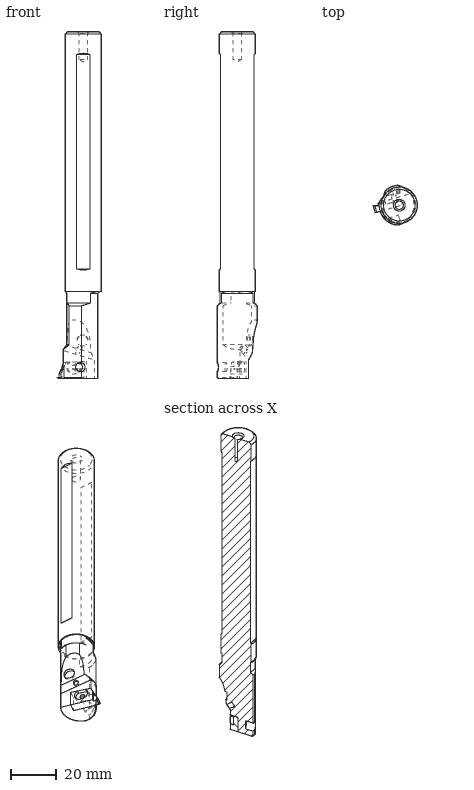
import cadquery as cq
import math

total_length = 152.5
shank_start = 38.3
neck_start = 33.2

shank_diameter = 16.0
shank_radius = shank_diameter / 2
neck_radius = 7.6
head_radius = 8.8
shoulder_height = head_radius - neck_radius
top_chamfer = 1.0
tip_chamfer = 0.5

flat_offset = 7.5
flat_bottom = 47.7
flat_top = 143.0
flat_depth = shank_radius - flat_offset

centre_hole_radius = 1.8
centre_hole_depth = 12.2
countersink_radius = 2.6
drill_point_angle = 118.0

back_relief_radius = 9.0
back_relief_axis = -2.6
front_relief_radius = 18.3
front_relief_axis = 11.0
front_relief_bottom = 15.0
front_relief_runout_rise = 1.4
relief_top = 37.5
relief_reach = 12.2

seat_turn = 16.0
pocket_tilt = 16.0
pocket_floor = 3.5
step_start = 9.6
step_top = 5.5
step_end = 12.4
wall_top = 6.0
wall_end = 16.8
runout_middle = (6.9, 21.0)
runout_end = (8.7, 24.4)
pocket_outside_height = 36.6
pocket_half_length = 30.5
pocket_outside = 18.3

insert_thickness = 3.8
insert_inner_end = 1.4
insert_height = 7.6
insert_shoulder_end = -8.0
insert_shoulder_height = 7.2
insert_flank_end = -10.4
insert_flank_height = 2.1
insert_tip_end = -11.1
insert_tip_height = 0.5
rake_level = -0.2
rake_wall = -9.3

screw_along = -3.5
screw_height = 5.0
screw_radius = 1.0
screw_head_radius = 3.0
screw_head_depth = 1.5
back_bore_radius = 2.0
back_bore_floor = -4.1

outlet_radius = 1.0
outlet_depth = 3.0
outlet_along = -4.5

recess_radius = 2.5
recess_along = 1.2
recess_height = 16.8
recess_floor = 5.0

margin = 15.3


def turned(shape):
    """Turn a shape from the plain frame into the insert frame."""
    return shape.rotate((0, 0, 0), (0, 0, 1), seat_turn)


def tilted(shape):
    """Tilt a shape down across the head, then turn it into the insert frame."""
    return turned(shape.rotate((0, 0, 0), (0, 1, 0), pocket_tilt))


def lathe_body():
    """Head, neck and shank as one turning about Z."""
    outline = [
        (0, 0),
        (-(head_radius - tip_chamfer), 0),
        (-head_radius, tip_chamfer),
        (-head_radius, neck_start - shoulder_height),
        (-neck_radius, neck_start),
        (-neck_radius, shank_start),
        (-shank_radius, shank_start),
        (-shank_radius, total_length - top_chamfer),
        (-(shank_radius - top_chamfer), total_length),
        (0, total_length),
    ]
    return cq.Workplane("XZ").polyline(outline).close().revolve(360, (0, 0), (0, 1))


def clamping_flat(side):
    """Cutter for one shank flat with 45 degree ends; side is +1 or -1 along Y."""
    outline = [
        (side * flat_offset, flat_bottom + flat_depth),
        (side * flat_offset, flat_top - flat_depth),
        (side * shank_radius, flat_top),
        (side * shank_radius, flat_bottom),
    ]
    return cq.Workplane("YZ").polyline(outline).close().extrude(shank_radius, both=True)


def centre_hole():
    """Countersunk drilled hole in the top end."""
    point_height = centre_hole_radius / math.tan(math.radians(drill_point_angle / 2))
    floor = total_length - centre_hole_depth
    outline = [
        (0, total_length),
        (countersink_radius, total_length),
        (centre_hole_radius, total_length - (countersink_radius - centre_hole_radius)),
        (centre_hole_radius, floor),
        (0, floor - point_height),
    ]
    return cq.Workplane("XZ").polyline(outline).close().revolve(360, (0, 0), (0, 1))


def relief_ring(axis, radius, bottom, runout_rise):
    """Ring cutter about a shifted axis; its lower runout rises runout_rise per unit of depth."""
    flare = shank_start - relief_top
    outline = [
        (axis + radius, bottom),
        (axis + radius, relief_top),
        (axis + radius + flare, shank_start),
        (axis + radius + relief_reach, shank_start),
        (axis + radius + relief_reach, bottom - relief_reach * runout_rise),
    ]
    return cq.Workplane("XZ").polyline(outline).close().revolve(360, (axis, 0), (axis, 1))


def chip_pocket():
    """Stepped prism that opens the head above the insert, ending in a round runout."""
    prism = (
        cq.Workplane("YZ")
        .moveTo(pocket_floor, -margin)
        .lineTo(pocket_floor, step_start)
        .lineTo(step_top, step_end)
        .lineTo(wall_top, wall_end)
        .threePointArc(runout_middle, runout_end)
        .lineTo(pocket_outside, pocket_outside_height)
        .lineTo(pocket_outside, -margin)
        .close()
        .extrude(pocket_half_length, both=True)
    )
    return tilted(prism)


def screw_cylinder(radius, start, end):
    """Cylinder on the screw axis between two levels of the turned frame."""
    plane = cq.Plane(origin=(screw_along, start, screw_height), xDir=(1, 0, 0), normal=(0, 1, 0))
    return turned(cq.Workplane(plane).circle(radius).extrude(end - start))


def coolant_outlet():
    """Blind hole square to the middle of the sloping step in the tilted pocket."""
    middle = (outlet_along, (pocket_floor + step_top) / 2, (step_start + step_end) / 2)
    inward = (0, step_start - step_end, step_top - pocket_floor)
    plane = cq.Plane(origin=middle, xDir=(1, 0, 0), normal=inward)
    return tilted(cq.Workplane(plane).circle(outlet_radius).extrude(outlet_depth, both=True))


def wall_recess():
    """Round cutter square to the turned frame, for the recess in the pocket wall."""
    plane = cq.Plane(origin=(recess_along, recess_floor, recess_height), xDir=(1, 0, 0), normal=(0, 1, 0))
    return turned(cq.Workplane(plane).circle(recess_radius).extrude(margin))


def insert_blank():
    """Insert plate with its pointed cutting corner and ground rake face."""
    outline = [
        (insert_inner_end, 0),
        (insert_inner_end, insert_height),
        (insert_shoulder_end, insert_shoulder_height),
        (insert_flank_end, insert_flank_height),
        (insert_flank_end, insert_tip_height),
        (insert_tip_end, insert_tip_height),
        (insert_flank_end, 0),
    ]
    plane = cq.Plane(origin=(0, pocket_floor, 0), xDir=(1, 0, 0), normal=(0, -1, 0))
    plate = turned(cq.Workplane(plane).polyline(outline).close().extrude(insert_thickness))
    rake = cq.Workplane().box(margin, margin, margin, centered=False)
    return plate.cut(rake.translate((rake_wall - margin, rake_level, 0)))


def make_holder():
    holder = lathe_body()
    for side in (1, -1):
        holder = holder.cut(clamping_flat(side))
    holder = holder.cut(centre_hole())
    holder = holder.cut(relief_ring(back_relief_axis, back_relief_radius, 0, 0))
    holder = holder.cut(
        relief_ring(front_relief_axis, front_relief_radius, front_relief_bottom, front_relief_runout_rise)
    )
    holder = holder.cut(chip_pocket())
    holder = holder.cut(coolant_outlet())
    holder = holder.cut(wall_recess())
    holder = holder.cut(insert_blank())
    return holder.cut(screw_cylinder(back_bore_radius, -margin, back_bore_floor))


def make_insert():
    insert = insert_blank()
    insert = insert.cut(screw_cylinder(screw_radius, -margin, margin))
    return insert.cut(screw_cylinder(screw_head_radius, pocket_floor - screw_head_depth, margin))


holder = make_holder()
insert = make_insert()
result = cq.Compound.makeCompound([holder.val(), insert.val()])